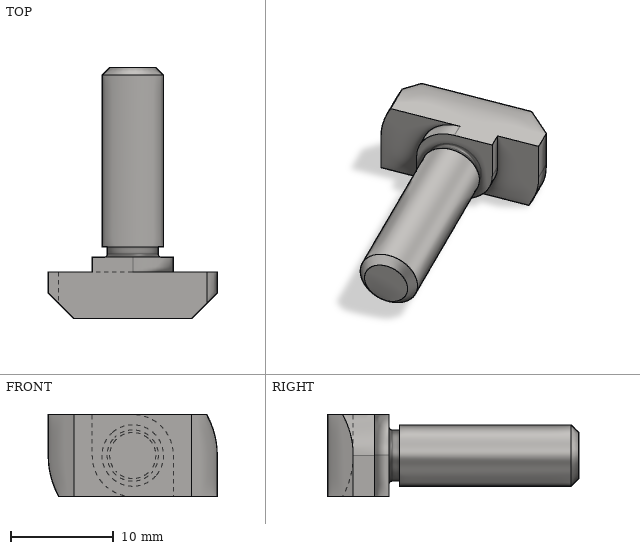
import cadquery as cq
import math


head_length = 16.5
head_width = 8.0
head_thickness = 4.56
head_bevel = 2.5

collar_end = 6.0
collar_length = 7.9

total_length = 24.5
shank_radius = 3.0
tip_chamfer = 0.75
neck_radius = 2.5
neck_length = 1.0
neck_fillet = 0.3

collar_height = collar_end - head_thickness
neck_end = collar_end + neck_length


def head_outline():
    """Head outline, normal to Y, with two opposite corners rounded about the bolt axis.

    The corners at (-X, +Z) and (+X, -Z) stay square; the other two follow a circle
    whose diameter is the head length.
    """
    radius = head_length / 2
    half_width = head_width / 2
    arc_end_x = math.sqrt(radius**2 - half_width**2)
    arc_mid_angle = math.asin(half_width / radius) / 2
    arc_mid_x = radius * math.cos(arc_mid_angle)
    arc_mid_z = radius * math.sin(arc_mid_angle)
    return (
        cq.Workplane("XZ")
        .moveTo(-radius, 0)
        .lineTo(-radius, half_width)
        .lineTo(arc_end_x, half_width)
        .threePointArc((arc_mid_x, arc_mid_z), (radius, 0))
        .lineTo(radius, -half_width)
        .lineTo(-arc_end_x, -half_width)
        .threePointArc((-arc_mid_x, -arc_mid_z), (-radius, 0))
        .close()
    )


def make_head():
    """Hammer head, bevelled at both ends of its front face."""
    half_length = head_length / 2
    front_half_length = half_length - head_bevel
    block = head_outline().extrude(-head_thickness)
    bevelled_prism = (
        cq.Workplane("XY")
        .moveTo(-front_half_length, 0)
        .lineTo(front_half_length, 0)
        .lineTo(half_length, head_bevel)
        .lineTo(half_length, head_thickness)
        .lineTo(-half_length, head_thickness)
        .lineTo(-half_length, head_bevel)
        .close()
        .extrude(head_width / 2, both=True)
    )
    return block.intersect(bevelled_prism)


def make_collar():
    """Collar with two opposite quarter-round corners, level with the head's top and bottom."""
    half_length = collar_length / 2
    block = cq.Workplane("XY").box(collar_length, collar_height, head_width)
    round_edges = "(|Y) and ((>X and >Z) or (<X and <Z))"
    collar = block.edges(round_edges).fillet(half_length)
    return collar.translate((0, head_thickness + collar_height / 2, 0))


def make_shank():
    """Shank with a chamfered tip and a relief neck filleted into the collar."""
    fillet_offset = neck_fillet * (1 - math.sqrt(0.5))
    profile = (
        cq.Workplane("XY")
        .moveTo(0, collar_end)
        .lineTo(neck_radius + neck_fillet, collar_end)
        .threePointArc(
            (neck_radius + fillet_offset, collar_end + fillet_offset),
            (neck_radius, collar_end + neck_fillet),
        )
        .lineTo(neck_radius, neck_end)
        .lineTo(shank_radius, neck_end)
        .lineTo(shank_radius, total_length - tip_chamfer)
        .lineTo(shank_radius - tip_chamfer, total_length)
        .lineTo(0, total_length)
        .close()
    )
    return profile.revolve(360, (0, 0, 0), (0, 1, 0))


result = make_head().union(make_collar()).union(make_shank())